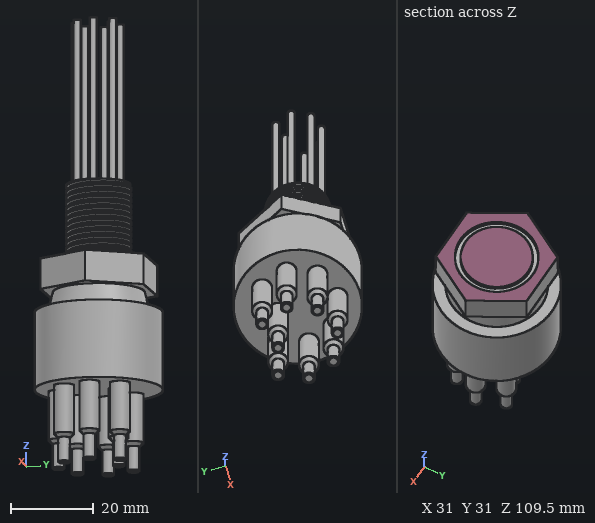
import cadquery as cq
import math

overall_height = 109.5
shoulder_z = 6.1
body_bottom_z = 19.0
body_top_z = 38.1
hex_bottom_z = 43.0
hex_top_z = 50.6
thread_bottom_z = 52.3
neck_top_z = 69.5

body_diameter = 31.0
collar_bottom_diameter = 24.9
collar_top_diameter = 22.2
hex_flats = 25.5

groove_outer_diameter = 20.0
groove_inner_diameter = 17.5
groove_depth = 1.3

neck_diameter = 14.1
thread_root_diameter = 14.5
thread_diameter = 15.9
thread_turns = 12.2
thread_pitch = (neck_top_z - thread_bottom_z) / thread_turns
thread_root_width = 1.3
thread_crest_width = 0.2
helix_start_z = 51.1
thread_overlap = 0.1

pin_diameter = 4.8
tip_diameter = 2.8
tip_chamfer = 0.3
pin_circle_radius = 10.0
pin_diagonal_angle = 44.0
key_pin_y = 4.9

lead_diameter = 1.8
lead_circle_radius = 5.9
lead_diagonal_angle = 48.0
key_lead_y = 3.1


def cylinder(diameter, bottom_z, top_z):
    return cq.Workplane("XY").workplane(offset=bottom_z).circle(diameter / 2).extrude(top_z - bottom_z)


def contact_positions(circle_radius, diagonal_angle, key_y):
    """Seven positions on a circle, with the eighth one moved inward as a key."""
    angles = [0, diagonal_angle, 180 - diagonal_angle, 180, 180 + diagonal_angle, 270, 360 - diagonal_angle]
    on_circle = [
        (circle_radius * math.cos(math.radians(angle)), circle_radius * math.sin(math.radians(angle)))
        for angle in angles
    ]
    return on_circle + [(0, key_y)]


def make_body():
    collar = (
        cq.Workplane("XY")
        .workplane(offset=body_top_z)
        .circle(collar_bottom_diameter / 2)
        .workplane(offset=hex_bottom_z - body_top_z)
        .circle(collar_top_diameter / 2)
        .loft(combine=True)
    )
    return cylinder(body_diameter, body_bottom_z, body_top_z).union(collar)


def make_hexagon():
    hex_corners = hex_flats / math.cos(math.pi / 6)
    hexagon = (
        cq.Workplane("XY")
        .workplane(offset=hex_bottom_z)
        .polygon(6, hex_corners)
        .extrude(hex_top_z - hex_bottom_z)
    )
    groove_floor_z = hex_top_z - groove_depth
    groove = cylinder(groove_outer_diameter, groove_floor_z, hex_top_z).cut(
        cylinder(groove_inner_diameter, groove_floor_z, hex_top_z)
    )
    return hexagon.cut(groove)


def make_thread():
    """Helical ridge sunk slightly into the thread core and cut flat at both ends."""
    root_radius = thread_root_diameter / 2 - thread_overlap
    crest_radius = thread_diameter / 2
    helix_height = neck_top_z + thread_pitch - helix_start_z
    helix = cq.Wire.makeHelix(thread_pitch, helix_height, root_radius, cq.Vector(0, 0, helix_start_z))
    ridge = (
        cq.Workplane("XZ")
        .polyline(
            [
                (root_radius, helix_start_z - thread_root_width / 2),
                (crest_radius, helix_start_z - thread_crest_width / 2),
                (crest_radius, helix_start_z + thread_crest_width / 2),
                (root_radius, helix_start_z + thread_root_width / 2),
            ]
        )
        .close()
        .sweep(cq.Workplane(obj=helix), isFrenet=True)
    )
    return ridge.intersect(cylinder(body_diameter, thread_bottom_z, neck_top_z))


def make_pins():
    positions = contact_positions(pin_circle_radius, pin_diagonal_angle, key_pin_y)
    pin_radius = pin_diameter / 2
    tip_radius = tip_diameter / 2
    taper_top_z = shoulder_z + pin_radius - tip_radius
    pin = (
        cq.Workplane("XZ")
        .polyline(
            [
                (0, 0),
                (tip_radius - tip_chamfer, 0),
                (tip_radius, tip_chamfer),
                (tip_radius, shoulder_z),
                (pin_radius, taper_top_z),
                (pin_radius, body_bottom_z),
                (0, body_bottom_z),
            ]
        )
        .close()
        .revolve(360, (0, 0, 0), (0, 1, 0))
    )
    return [pin.translate((x, y, 0)) for x, y in positions]


def make_leads():
    positions = contact_positions(lead_circle_radius, lead_diagonal_angle, key_lead_y)
    lead = cylinder(lead_diameter, neck_top_z, overall_height)
    return [lead.translate((x, y, 0)) for x, y in positions]


neck = cylinder(neck_diameter, hex_top_z, thread_bottom_z)
thread_core = cylinder(thread_root_diameter, thread_bottom_z, neck_top_z)
result = make_body().union(make_hexagon()).union(neck).union(thread_core).union(make_thread())
for contact in make_pins() + make_leads():
    result = result.union(contact)